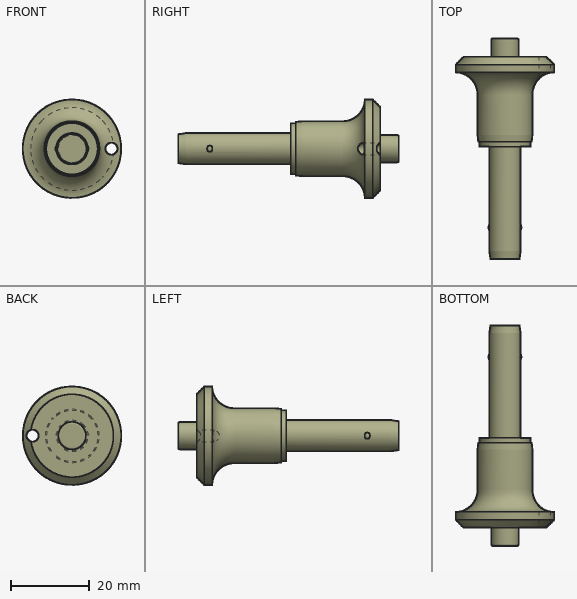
import cadquery as cq
import math


shank_radius = 4.0
shank_length = 28.5
tip_radius = 3.7
tip_length = 2.0

collar_radius = 6.5
collar_length = 1.25
body_radius = 7.0
taper_end_radius = 6.8
taper_length = 1.7
body_length = 10.3
head_radius = 12.5
flare_radius = head_radius - body_radius
rim_length = 2.0
head_chamfer = 2.0

button_radius = 3.5
button_length = 4.65
button_edge_radius = 0.5

ball_radius = 1.3
ball_protrusion = 0.2
ball_distance_from_tip = 8.0

lanyard_hole_diameter = 3.0
lanyard_hole_offset = 10.0

tip_y = -shank_length
taper_start_y = collar_length
body_start_y = taper_start_y + taper_length
flare_start_y = body_start_y + body_length
rim_start_y = flare_start_y + flare_radius
rim_end_y = rim_start_y + rim_length
head_end_y = rim_end_y + head_chamfer
button_end_y = head_end_y + button_length


def turned_body():
    """Revolve the half profile (radius along X, length along Y) about the Y axis."""
    diagonal = math.sqrt(0.5)
    flare_middle = (
        head_radius - flare_radius * diagonal,
        flare_start_y + flare_radius * diagonal,
    )
    button_edge_middle = (
        button_radius - button_edge_radius * (1 - diagonal),
        button_end_y - button_edge_radius * (1 - diagonal),
    )
    profile = (
        cq.Workplane("XY")
        .moveTo(0, tip_y)
        .lineTo(tip_radius, tip_y)
        .lineTo(shank_radius, tip_y + tip_length)
        .lineTo(shank_radius, 0)
        .lineTo(collar_radius, 0)
        .lineTo(collar_radius, taper_start_y)
        .lineTo(taper_end_radius, taper_start_y)
        .lineTo(body_radius, body_start_y)
        .lineTo(body_radius, flare_start_y)
        .threePointArc(flare_middle, (head_radius, rim_start_y))
        .lineTo(head_radius, rim_end_y)
        .lineTo(head_radius - head_chamfer, head_end_y)
        .lineTo(button_radius, head_end_y)
        .lineTo(button_radius, button_end_y - button_edge_radius)
        .threePointArc(button_edge_middle, (button_radius - button_edge_radius, button_end_y))
        .lineTo(0, button_end_y)
        .close()
    )
    return profile.revolve(360, (0, 0, 0), (0, 1, 0))


def locking_ball(side):
    """Ball standing slightly proud of the shank; side is -1 or +1 along X."""
    center_x = side * (shank_radius + ball_protrusion - ball_radius)
    center_y = tip_y + ball_distance_from_tip
    return cq.Workplane("XY").sphere(ball_radius).translate((center_x, center_y, 0))


def lanyard_hole():
    """Cutter parallel to Y that passes through the flare and the head."""
    return (
        cq.Workplane("XZ", origin=(lanyard_hole_offset, head_end_y, 0))
        .circle(lanyard_hole_diameter / 2)
        .extrude(head_end_y - flare_start_y)
    )


result = turned_body()
for side in (-1, 1):
    result = result.union(locking_ball(side))
result = result.cut(lanyard_hole())